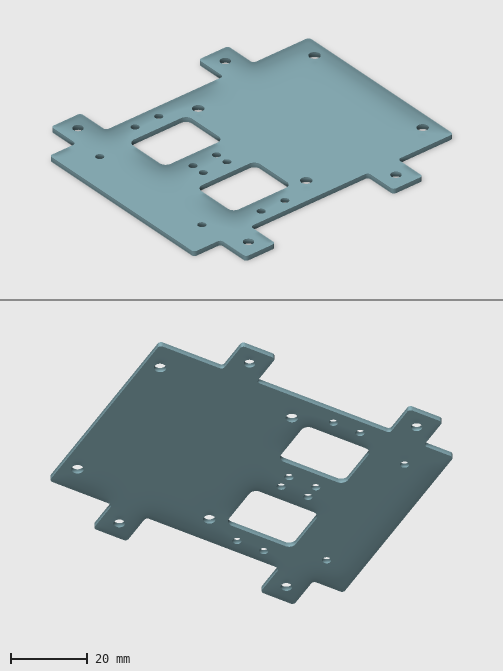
import cadquery as cq

length = 88.0
body_width = 59.3
thickness = 1.5
body_corner_radius = 1.0

span_across_tabs = 80.0
tab_width = 10.0
tab_spacing = 50.0
rear_tab_y = 20.1
tab_rows = (rear_tab_y, rear_tab_y - tab_spacing)
tab_corner_radius = 1.0
tab_root_radius = 1.0
tab_hole_diameter = 3.0
tab_hole_x = (span_across_tabs - tab_width) / 2

window_width = 15.0
window_length = 20.0
window_corner_radius = 2.0
window_x = 14.0
window_y = -14.1

board_hole_diameter = 3.3
board_hole_x = 22.2
board_hole_rows = (39.7, 0.3)

small_hole_diameter = 2.4
window_hole_offset = 11.9
window_hole_columns = (window_x - window_hole_offset, window_x + window_hole_offset)
window_hole_spacing = 8.0
window_hole_rows = (window_y - window_hole_spacing / 2, window_y + window_hole_spacing / 2)
front_hole_x = 20.9
front_hole_y = -34.1


def mirrored(columns, rows):
    """Points at every column and row, repeated on both sides of the Y axis."""
    return [(side * x, y) for side in (-1, 1) for x in columns for y in rows]


def vertical_edges_at(x, rows):
    """Selector for the vertical edges at +/-x whose Y position is one of the rows."""
    reach = 0.1
    selector = None
    for px, py in mirrored([x], rows):
        box = cq.selectors.BoxSelector(
            (px - reach, py - reach, -thickness), (px + reach, py + reach, thickness)
        )
        selector = box if selector is None else selector + box
    return selector


def make_plate():
    """Body with four side tabs and all outline corners rounded."""
    plate = cq.Workplane("XY").box(body_width, length, thickness)
    for y in tab_rows:
        plate = plate.union(cq.Workplane("XY").box(span_across_tabs, tab_width, thickness).translate((0, y, 0)))
    tab_sides = [y + side * tab_width / 2 for y in tab_rows for side in (-1, 1)]
    body_ends = (-length / 2, length / 2)
    plate = plate.edges(vertical_edges_at(span_across_tabs / 2, tab_sides)).fillet(tab_corner_radius)
    plate = plate.edges(vertical_edges_at(body_width / 2, tab_sides)).fillet(tab_root_radius)
    return plate.edges(vertical_edges_at(body_width / 2, body_ends)).fillet(body_corner_radius)


def make_windows():
    """Cutting bodies for the two rounded windows."""
    return (
        cq.Workplane("XY")
        .pushPoints(mirrored([window_x], [window_y]))
        .rect(window_width, window_length)
        .extrude(thickness, both=True)
        .edges("|Z")
        .fillet(window_corner_radius)
    )


def drill(plate, points, diameter):
    """Drill through holes at the given points."""
    return plate.faces(">Z").workplane(origin=(0, 0, 0)).pushPoints(points).hole(diameter)


result = make_plate().cut(make_windows())
result = drill(result, mirrored([tab_hole_x], tab_rows), tab_hole_diameter)
result = drill(result, mirrored([board_hole_x], board_hole_rows), board_hole_diameter)
result = drill(result, mirrored(window_hole_columns, window_hole_rows), small_hole_diameter)
result = drill(result, mirrored([front_hole_x], [front_hole_y]), small_hole_diameter)